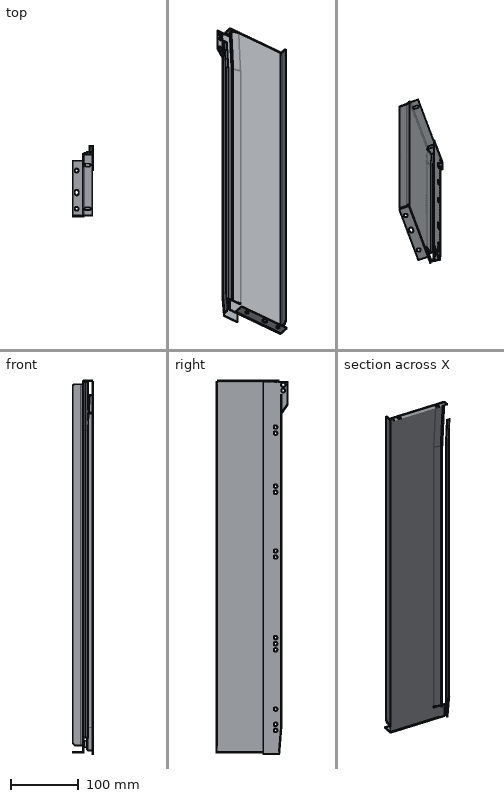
import cadquery as cq

DEPTH = 30.39
WIDTH = 105.5
HEIGHT = 552.0
SHEET = 1.2
BEND_RADIUS = 1.0
BEND_OUTER_RADIUS = BEND_RADIUS + SHEET
CUT = 4 * SHEET

PANEL_BOTTOM = 2.0
SLIT_BOTTOM = 22.5
SLIT_TOP = 24.4
LEAN_START = 478.0
HEAD_BEND_Z = HEIGHT - BEND_OUTER_RADIUS
LEAN = 3.3

PANEL_X = 15.0
PANEL_BACK_X = PANEL_X + SHEET
JOGGLE_START_Y = 73.9
JOGGLE_END_Y = 85.0
JOGGLE_OFFSET = 3.0
LIP_END_X = 22.7
FOOT_END_Y = 93.0

FLANGE_BEND_X = 11.0
FLANGE_STEP = 1.1
FLANGE_BOTTOM = 12.5
FLANGE_TOP = 546.5
FLANGE_LOWER_CHAMFER = 3.5
FLANGE_UPPER_CHAMFER = 2.0

BOTTOM_FLANGE_LENGTH = 83.0
BOTTOM_HOLE_X = 5.8
BOTTOM_HOLE_DIAMETER = 5.5
BOTTOM_HOLE_YS = (12.0, 68.5)
BOTTOM_SLOT_Y = 36.0
BOTTOM_SLOT_LENGTH = 8.0
TOP_FLANGE_START_Y = 2.0
TOP_FLANGE_END_Y = 92.0
TOP_FLANGE_EDGE_X = 29.0
TOP_SLOT_X = 21.9
TOP_SLOT_YS = (12.0, 76.6)
TOP_SLOT_LENGTH = 8.5
TOP_SLOT_WIDTH = 3.5

RAIL_PLATE_X = DEPTH - SHEET
RAIL_INNER_Y = 69.0
RAIL_OUTER_Y = 96.5
RAIL_TOP = 549.8
BRACKET_LOWER_Z = 516.0
BRACKET_ROOT_Z = 503.0
TAPER_START = 40.0
TAPER_END_Y = 93.2
RAIL_LIP_BOTTOM = 5.0
RAIL_LIP_X = 20.8
RAIL_LIP_CORNER = 2.5
BRACKET_LIP_X = 24.5
RAIL_TAB_X = 17.0
RAIL_TAB_BOTTOM = 10.0
RAIL_TAB_TOP = 20.0
RETURN_INNER_Y = 91.6
RETURN_BOTTOM = 8.0
RETURN_TOP = 530.5
RETURN_CORNER = 1.5
RAIL_HOLE_Y = 87.6
RAIL_HOLE_DIAMETER = 5.0
RAIL_HOLE_PITCH = 9.0
RAIL_HOLE_GROUPS = (
    (483.0, 2),
    (395.7, 2),
    (300.0, 2),
    (172.0, 3),
    (66.5, 1),
    (44.0, 2),
)
BRACKET_HOLE_Y = 98.9
BRACKET_SLOT_Z = 545.4
BRACKET_SLOT_LENGTH = 6.5
BRACKET_HOLE_Z = 537.0
BRACKET_HOLE_DIAMETER = 5.6


def box(x_range, y_range, z_range):
    """Box between the given limits."""
    size = [limits[1] - limits[0] for limits in (x_range, y_range, z_range)]
    corner = (x_range[0], y_range[0], z_range[0])
    return cq.Workplane("XY").box(*size, centered=False).translate(corner)


def joggled_outline(shift):
    """Panel cross-section: flat web, sloping joggle and a lip turned back to +X."""
    joggle_x = PANEL_X + JOGGLE_OFFSET
    start_y = JOGGLE_START_Y + shift
    end_y = JOGGLE_END_Y + shift
    return [
        (PANEL_X, 0),
        (PANEL_X, start_y),
        (joggle_x, end_y),
        (LIP_END_X, end_y),
        (LIP_END_X, end_y - SHEET),
        (joggle_x + SHEET, end_y - SHEET),
        (PANEL_BACK_X, start_y),
        (PANEL_BACK_X, 0),
    ]


def make_web():
    """Straight joggled length, leaning top length and flat foot below the slit."""
    straight = (
        cq.Workplane("XY", origin=(0, 0, SLIT_TOP))
        .polyline(joggled_outline(0)).close()
        .extrude(LEAN_START - SLIT_TOP)
    )
    leaning = (
        cq.Workplane("XY", origin=(0, 0, LEAN_START))
        .polyline(joggled_outline(0)).close()
        .workplane(offset=HEAD_BEND_Z - LEAN_START)
        .polyline(joggled_outline(LEAN)).close()
        .loft(ruled=True)
    )
    web_x = (PANEL_X, PANEL_BACK_X)
    neck = box(web_x, (0, JOGGLE_START_Y), (SLIT_BOTTOM, SLIT_TOP))
    foot = box(web_x, (0, FOOT_END_Y), (PANEL_BOTTOM, SLIT_BOTTOM))
    return straight.union(leaning).union(neck).union(foot)


def make_side_flange():
    """Stepped flange along the -Y edge, with chamfered free corners."""
    flange = (
        cq.Workplane("XY", origin=(0, 0, FLANGE_BOTTOM))
        .polyline([
            (0, FLANGE_STEP),
            (FLANGE_BEND_X, FLANGE_STEP),
            (PANEL_X, 0),
            (PANEL_BACK_X, 0),
            (PANEL_BACK_X, SHEET),
            (PANEL_X, SHEET),
            (FLANGE_BEND_X, FLANGE_STEP + SHEET),
            (0, FLANGE_STEP + SHEET),
        ]).close()
        .extrude(FLANGE_TOP - FLANGE_BOTTOM)
    )
    flange = flange.faces("<X").edges("<Z").chamfer(FLANGE_LOWER_CHAMFER)
    return flange.faces("<X").edges(">Z").chamfer(FLANGE_UPPER_CHAMFER)


def make_bottom_flange():
    """Flange at the foot, turned to -X, with two round holes and a slot between them."""
    flange = box(
        (0, PANEL_BACK_X), (0, BOTTOM_FLANGE_LENGTH), (PANEL_BOTTOM, PANEL_BOTTOM + SHEET)
    )
    cutters = (
        cq.Workplane("XY")
        .pushPoints([(BOTTOM_HOLE_X, y) for y in BOTTOM_HOLE_YS])
        .circle(BOTTOM_HOLE_DIAMETER / 2)
        .extrude(CUT)
    )
    slot = (
        cq.Workplane("XY")
        .center(BOTTOM_HOLE_X, BOTTOM_SLOT_Y)
        .slot2D(BOTTOM_SLOT_LENGTH, BOTTOM_HOLE_DIAMETER, 90)
        .extrude(CUT)
    )
    return flange.cut(cutters).cut(slot)


def make_top_flange():
    """Flange at the head, turned to +X through a round bend, with two cross slots."""
    flange_x = PANEL_X + BEND_OUTER_RADIUS
    flange = (
        cq.Workplane("XZ", origin=(0, TOP_FLANGE_START_Y, 0))
        .moveTo(PANEL_X, HEAD_BEND_Z)
        .radiusArc((flange_x, HEIGHT), BEND_OUTER_RADIUS)
        .lineTo(TOP_FLANGE_EDGE_X, HEIGHT)
        .lineTo(TOP_FLANGE_EDGE_X, HEIGHT - SHEET)
        .lineTo(flange_x, HEIGHT - SHEET)
        .radiusArc((PANEL_BACK_X, HEAD_BEND_Z), -BEND_RADIUS)
        .close()
        .extrude(TOP_FLANGE_START_Y - TOP_FLANGE_END_Y)
    )
    slots = (
        cq.Workplane("XY", origin=(0, 0, HEIGHT))
        .pushPoints([(TOP_SLOT_X, y) for y in TOP_SLOT_YS])
        .slot2D(TOP_SLOT_LENGTH, TOP_SLOT_WIDTH)
        .extrude(-CUT)
    )
    return flange.cut(slots)


def make_panel():
    panel = make_web().union(make_side_flange())
    return panel.union(make_bottom_flange()).union(make_top_flange())


def rail_edge(inset):
    """Outer edge of the rail from foot to bracket corner, moved inwards by inset."""
    return [
        (TAPER_END_Y - inset, 0),
        (RAIL_OUTER_Y - inset, TAPER_START),
        (RAIL_OUTER_Y - inset, BRACKET_ROOT_Z),
        (WIDTH - inset, BRACKET_LOWER_Z),
    ]


def extrude_rail_outline(points, front_x):
    """Extrude a (Y, Z) outline from front_x to the back of the rail."""
    return (
        cq.Workplane("YZ", origin=(front_x, 0, 0))
        .polyline(points).close()
        .extrude(DEPTH - front_x)
    )


def make_rail_plate():
    """Plate that widens into a bracket at the top."""
    points = [
        (RAIL_INNER_Y, 0),
        *rail_edge(0),
        (WIDTH, RAIL_TOP),
        (RAIL_INNER_Y, RAIL_TOP),
    ]
    return extrude_rail_outline(points, RAIL_PLATE_X)


def lip_free_edge():
    """Free edge of the lip as (X, Z): straight, then receding beside the bracket."""
    return [
        (RAIL_LIP_X, TAPER_START),
        (RAIL_LIP_X, LEAN_START),
        (BRACKET_LIP_X, RETURN_TOP),
    ]


def make_rail_lip():
    """Lip along the outer edge, with a tab near the foot and a narrow branch under the bracket."""
    band = extrude_rail_outline(rail_edge(0) + rail_edge(SHEET)[::-1], 0)
    reach = (
        cq.Workplane("XZ")
        .polyline([
            (DEPTH, RAIL_LIP_BOTTOM),
            (RAIL_LIP_X + RAIL_LIP_CORNER, RAIL_LIP_BOTTOM),
            (RAIL_LIP_X, RAIL_LIP_BOTTOM + RAIL_LIP_CORNER),
            (RAIL_LIP_X, RAIL_TAB_BOTTOM),
            (RAIL_TAB_X, RAIL_TAB_BOTTOM),
            (RAIL_TAB_X, RAIL_TAB_TOP),
            (RAIL_LIP_X, RAIL_TAB_TOP),
            (RAIL_LIP_X, LEAN_START),
            (BRACKET_LIP_X, LEAN_START),
            (BRACKET_LIP_X, HEIGHT),
            (DEPTH, HEIGHT),
        ]).close()
        .extrude(-WIDTH)
    )
    upright = (
        cq.Workplane("XZ", origin=(0, RAIL_OUTER_Y - SHEET, 0))
        .polyline([(DEPTH, TAPER_START), *lip_free_edge(), (DEPTH, RETURN_TOP)]).close()
        .extrude(-SHEET)
    )
    return band.intersect(reach).union(upright)


def make_rail_return():
    """Strip turned inwards from the free edge of the lip, with a rounded upper corner."""
    free_edge = lip_free_edge()
    back_edge = [(x + SHEET, z) for x, z in free_edge]
    strip = (
        cq.Workplane("XZ", origin=(0, RETURN_INNER_Y, 0))
        .polyline(free_edge + back_edge[::-1]).close()
        .extrude(RETURN_INNER_Y - RAIL_OUTER_Y)
    )
    strip = strip.edges("|X").edges(">Z and <Y").fillet(RETURN_CORNER)
    tapered_edge_y = TAPER_END_Y + (RAIL_OUTER_Y - TAPER_END_Y) * RETURN_BOTTOM / TAPER_START
    foot = (
        cq.Workplane("YZ", origin=(RAIL_LIP_X, 0, 0))
        .polyline([
            (RETURN_INNER_Y, RETURN_BOTTOM),
            (tapered_edge_y - SHEET, RETURN_BOTTOM),
            (RAIL_OUTER_Y - SHEET, TAPER_START),
            (RETURN_INNER_Y, TAPER_START),
        ]).close()
        .extrude(SHEET)
    )
    return strip.union(foot)


def make_rail_hole_cutters():
    """Grouped round holes along the plate, and a slot and a round hole in the bracket."""
    face = cq.Workplane("YZ", origin=(RAIL_PLATE_X, 0, 0))
    centres = [
        (RAIL_HOLE_Y, top - i * RAIL_HOLE_PITCH)
        for top, count in RAIL_HOLE_GROUPS
        for i in range(count)
    ]
    holes = face.pushPoints(centres).circle(RAIL_HOLE_DIAMETER / 2).extrude(CUT)
    bracket_hole = (
        face.center(BRACKET_HOLE_Y, BRACKET_HOLE_Z)
        .circle(BRACKET_HOLE_DIAMETER / 2)
        .extrude(CUT)
    )
    bracket_slot = (
        cq.Workplane("YZ", origin=(RAIL_PLATE_X, BRACKET_HOLE_Y, BRACKET_SLOT_Z))
        .slot2D(BRACKET_SLOT_LENGTH, BRACKET_HOLE_DIAMETER)
        .extrude(CUT)
    )
    return holes.union(bracket_hole).union(bracket_slot)


def make_rail():
    rail = make_rail_plate().union(make_rail_lip()).union(make_rail_return())
    return rail.cut(make_rail_hole_cutters())


panel = make_panel()
rail = make_rail()
result = cq.Compound.makeCompound([panel.val(), rail.val()])